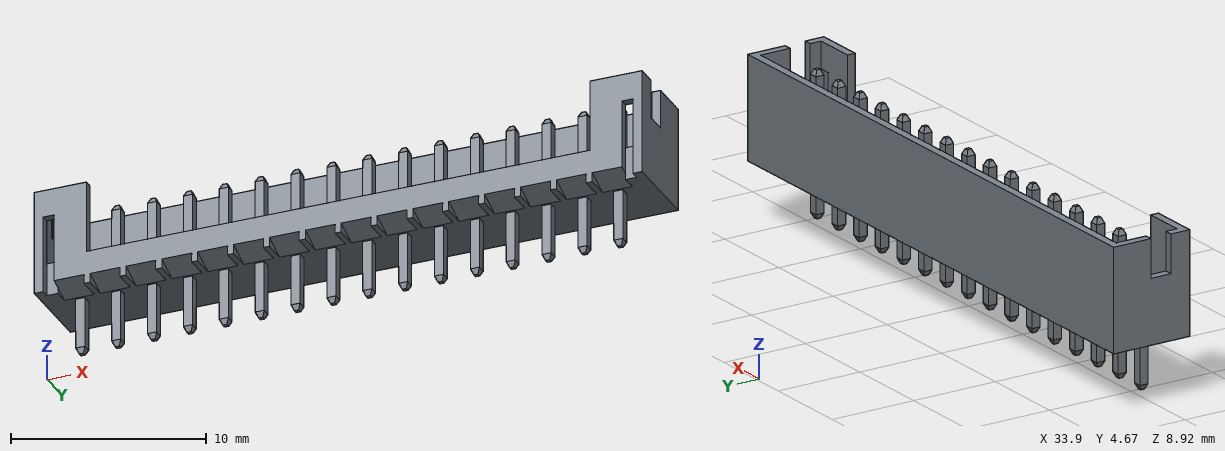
import cadquery as cq

length = 33.85
width = 4.67
housing_height = 5.82
wall = 0.47
floor_top = 1.83

window_margin = 2.9
end_notch_front = 1.15
end_notch_width = 1.22
end_notch_depth = 2.17
groove_inset = 0.5
groove_width = 0.6
groove_top = 4.3

bevel_height = 0.5
bevel_depth = 1.32
rib_width = 0.35

pin_count = 16
pitch = 2.0
pin_size = 0.5
pin_y = 1.7
pin_drop = 3.1
pin_top = 5.0
tip_height = 0.3
tip_inset = 0.15


def block(x_min, x_max, y_min, y_max, z_min, z_max):
    """Box given by its limits along each axis."""
    size = (x_max - x_min, y_max - y_min, z_max - z_min)
    return cq.Workplane("XY").box(*size, centered=False).translate((x_min, y_min, z_min))


def centred_row(count):
    """X positions of evenly pitched features, centred on the housing."""
    return [(i - (count - 1) / 2) * pitch for i in range(count)]


def make_shell():
    """Housing with its cavity, front window, end notches and front grooves."""
    half = length / 2
    inner_half = half - wall
    window_half = half - window_margin
    shell = block(-half, half, 0, width, 0, housing_height)
    shell = shell.cut(block(-inner_half, inner_half, wall, width - wall, floor_top, housing_height))
    shell = shell.cut(block(-window_half, window_half, 0, wall, floor_top, housing_height))

    notch_bottom = housing_height - end_notch_depth
    notch_back = end_notch_front + end_notch_width
    shell = shell.cut(block(-half, half, end_notch_front, notch_back, notch_bottom, housing_height))

    groove_outer = half - groove_inset
    groove_inner = groove_outer - groove_width
    shell = shell.cut(block(-groove_outer, -groove_inner, 0, wall, 0, groove_top))
    shell = shell.cut(block(groove_inner, groove_outer, 0, wall, 0, groove_top))
    return shell


def bevel_wedge(x_centre, span):
    """Triangular prism filling the bevel over a stretch of the front edge."""
    return (
        cq.Workplane("YZ")
        .polyline([(0, 0), (bevel_depth, 0), (0, bevel_height)])
        .close()
        .extrude(span / 2, both=True)
        .translate((x_centre, 0, 0))
    )


def make_bevel():
    """Bevel cutter reaching from groove to groove, leaving the ribs standing."""
    cutter = bevel_wedge(0, length - 2 * (groove_inset + groove_width))
    for x in centred_row(pin_count - 1):
        cutter = cutter.cut(bevel_wedge(x, rib_width))
    return cutter


def make_pin(x):
    """Square pin through the floor, with both ends tapered."""
    tip_size = pin_size - 2 * tip_inset
    shank_bottom = tip_height - pin_drop
    shank_top = pin_top - tip_height
    half = pin_size / 2
    pin = block(-half, half, -half, half, shank_bottom, shank_top)
    for z, direction in ((shank_top, 1), (shank_bottom, -1)):
        tip = (
            cq.Workplane("XY", origin=(0, 0, z))
            .rect(pin_size, pin_size)
            .workplane(offset=direction * tip_height)
            .rect(tip_size, tip_size)
            .loft(ruled=True)
        )
        pin = pin.union(tip)
    return pin.translate((x, pin_y, 0))


result = make_shell().cut(make_bevel())
for pin_x in centred_row(pin_count):
    result = result.union(make_pin(pin_x))